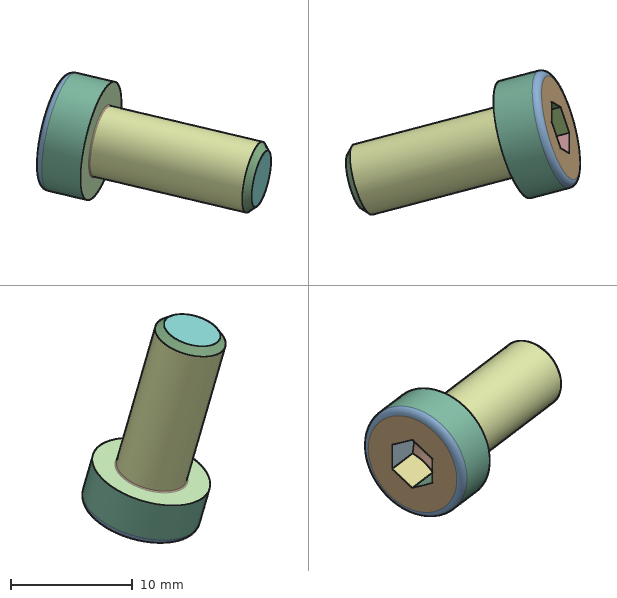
import cadquery as cq
import math


head_diameter = 10.0
head_height = 4.0
head_edge_radius = 0.6

shank_diameter = 6.0
shank_length = 14.0
tip_chamfer = 0.613
neck_fillet_radius = 0.1

socket_across_flats = 4.0
socket_depth = 3.0
socket_floor_included_angle = 120.0

socket_across_corners = socket_across_flats / math.cos(math.pi / 6)


def make_screw_body():
    """Head and shank, with the rounded head rim, neck fillet and chamfered tip."""
    head = cq.Workplane("YZ").circle(head_diameter / 2).extrude(head_height)
    head = head.faces("<X").edges().fillet(head_edge_radius)

    shank = (
        cq.Workplane("YZ", origin=(head_height, 0, 0))
        .circle(shank_diameter / 2)
        .extrude(shank_length)
        .faces(">X")
        .edges()
        .chamfer(tip_chamfer)
    )

    neck_edge = cq.selectors.RadiusNthSelector(0)
    seat_plane = cq.selectors.NearestToPointSelector((head_height, 0, 0))
    return head.union(shank).faces(seat_plane).edges(neck_edge).fillet(neck_fillet_radius)


def make_socket():
    """Hexagonal prism with corners on Z, ending in a cone as wide as its corners."""
    corner_radius = socket_across_corners / 2
    cone_height = corner_radius / math.tan(math.radians(socket_floor_included_angle / 2))

    hexagon = (
        cq.Workplane("YZ")
        .transformed(rotate=(0, 0, 90))
        .polygon(6, socket_across_corners)
        .extrude(socket_depth + cone_height)
    )
    drilled_envelope = (
        cq.Workplane("XY")
        .lineTo(0, corner_radius)
        .lineTo(socket_depth, corner_radius)
        .lineTo(socket_depth + cone_height, 0)
        .close()
        .revolve(360, (0, 0, 0), (1, 0, 0))
    )
    return hexagon.intersect(drilled_envelope)


result = make_screw_body().cut(make_socket())